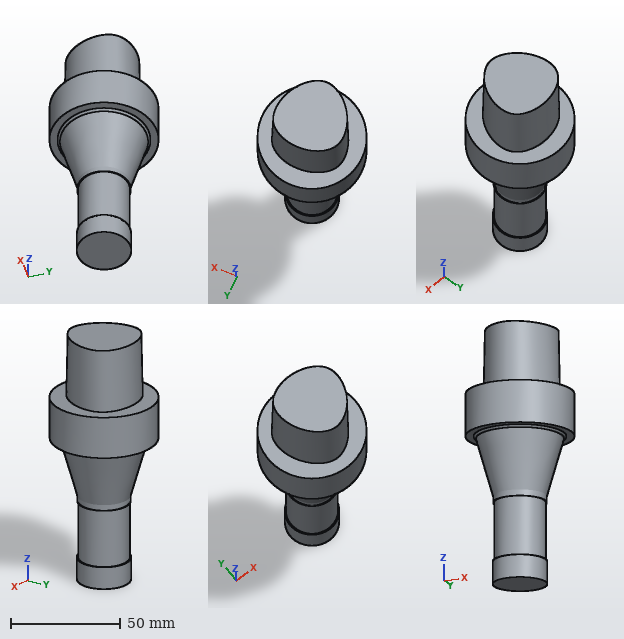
import cadquery as cq
import math

total_height = 120.0
flange_top = 90.0
flange_bottom = 70.0
cone_top = 68.9
cone_bottom = 41.5
collar_bottom = 38.6
foot_top = 10.8

flange_diameter = 49.9
neck_diameter = 42.5
cone_top_diameter = 40.3
collar_diameter = 24.6
stem_diameter = 23.8
foot_diameter = 25.0

shank_base_width = 35.0
shank_top_width = 33.8
lobe_height = 1.0
lobe_count = 3
curve_points = 72


def round_body():
    """Revolve the stepped half profile, as radius and height, about Z."""
    profile = [
        (0, 0),
        (foot_diameter / 2, 0),
        (foot_diameter / 2, foot_top),
        (stem_diameter / 2, foot_top),
        (stem_diameter / 2, collar_bottom),
        (collar_diameter / 2, collar_bottom),
        (collar_diameter / 2, cone_bottom),
        (cone_top_diameter / 2, cone_top),
        (neck_diameter / 2, flange_bottom),
        (flange_diameter / 2, flange_bottom),
        (flange_diameter / 2, flange_top),
        (0, flange_top),
    ]
    return cq.Workplane("XZ").polyline(profile).close().revolve(360, (0, 0), (0, 1))


def lobed_wire(width, height):
    """Closed curve whose tangent lies width/2 + lobe_height*cos(3a) from the axis."""
    def point(turn):
        angle = 2 * math.pi * turn
        reach = width / 2 + lobe_height * math.cos(lobe_count * angle)
        slope = -lobe_count * lobe_height * math.sin(lobe_count * angle)
        along_lobe = reach * math.cos(angle) - slope * math.sin(angle)
        across_lobe = reach * math.sin(angle) + slope * math.cos(angle)
        return (across_lobe, -along_lobe, height)

    points = [cq.Vector(*point(i / curve_points)) for i in range(curve_points)]
    return cq.Wire.assembleEdges([cq.Edge.makeSpline(points, periodic=True)])


def lobed_shank():
    """Taper the lobed curve from the flange to the top end."""
    base = lobed_wire(shank_base_width, flange_top)
    top = lobed_wire(shank_top_width, total_height)
    return cq.Workplane(cq.Solid.makeLoft([base, top], True))


result = round_body().union(lobed_shank())